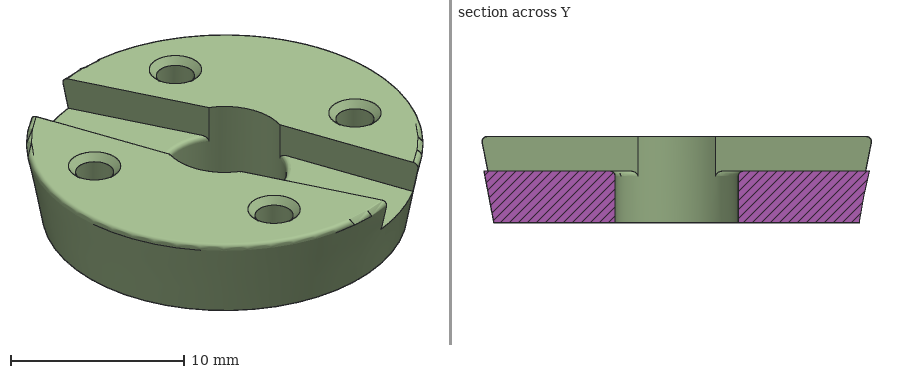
import cadquery as cq
import math

height = 5.0
outer_radius = 11.45
bottom_radius = 10.56
rim_round = 0.3

slot_depth = 2.0
slot_rim_half_width = 2.2
slot_bore_half_width = 2.75
slot_bore_x = 2.3
slot_overrun = 1.15
slot_floor = height - slot_depth

bore_radius = 3.55
bore_round = 0.3

screw_offset = 5.68
screw_radius = 1.1
countersink_radius = 1.51
countersink_angle = 90


def make_disc():
    """Truncated cone, wide end up, with a rounded top rim."""
    round_center_x = outer_radius - rim_round
    round_center_z = height - rim_round
    run = round_center_x - bottom_radius
    flare = math.atan2(run, round_center_z) + math.asin(rim_round / math.hypot(run, round_center_z))
    side_tangent = (
        round_center_x + rim_round * math.cos(flare),
        round_center_z - rim_round * math.sin(flare),
    )
    profile = (
        cq.Workplane("XZ")
        .lineTo(bottom_radius, 0)
        .lineTo(*side_tangent)
        .threePointArc((outer_radius, round_center_z), (round_center_x, height))
        .lineTo(0, height)
        .close()
    )
    return profile.revolve(360, (0, 0, 0), (0, 1, 0))


def make_slot():
    """Slot cutter running along X, tapering outwards from the bore."""
    rim_x = math.sqrt(outer_radius**2 - slot_rim_half_width**2)
    slope = (slot_bore_half_width - slot_rim_half_width) / (rim_x - slot_bore_x)
    middle_half_width = slot_bore_half_width + slope * slot_bore_x
    end_x = outer_radius + slot_overrun
    end_half_width = slot_rim_half_width - slope * (end_x - rim_x)
    return (
        cq.Workplane("XY")
        .workplane(offset=slot_floor)
        .polyline([
            (-end_x, -end_half_width),
            (0, -middle_half_width),
            (end_x, -end_half_width),
            (end_x, end_half_width),
            (0, middle_half_width),
            (-end_x, end_half_width),
        ])
        .close()
        .extrude(slot_depth)
    )


def make_bore_round(slot):
    """Cutter for the rounded bore edge, kept between the slot walls."""
    arc_center_x = bore_radius + bore_round
    arc_center_z = slot_floor - bore_round
    diagonal = bore_round * math.sqrt(0.5)
    flared_plug = (
        cq.Workplane("XZ")
        .moveTo(0, arc_center_z)
        .lineTo(bore_radius, arc_center_z)
        .threePointArc(
            (arc_center_x - diagonal, arc_center_z + diagonal),
            (arc_center_x, slot_floor),
        )
        .lineTo(0, slot_floor)
        .close()
        .revolve(360, (0, 0, 0), (0, 1, 0))
    )
    slot_below_floor = slot.translate((0, 0, -slot_depth))
    return flared_plug.intersect(slot_below_floor)


slot = make_slot()
result = make_disc().cut(slot)
result = result.faces("<Z").workplane(origin=(0, 0, 0)).circle(bore_radius).cutThruAll()
result = result.cut(make_bore_round(slot))
result = (
    result.faces(">Z")
    .workplane(origin=(0, 0, height))
    .rect(2 * screw_offset, 2 * screw_offset, forConstruction=True)
    .vertices()
    .cskHole(2 * screw_radius, 2 * countersink_radius, countersink_angle)
)